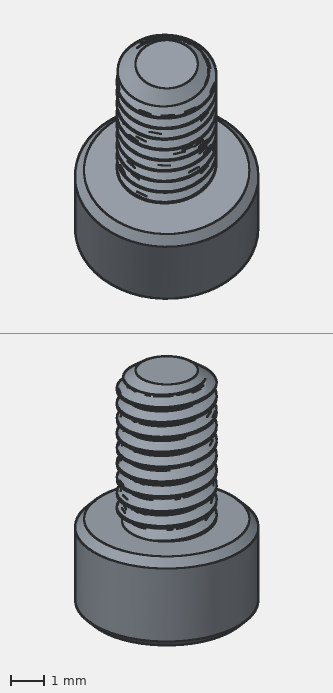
import cadquery as cq
import math

total_length = 8.0
head_height = 3.0
head_diameter = 5.5
head_chamfer = 0.27
thread_diameter = 3.0
root_diameter = 2.35
thread_turns = 10
flank_samples = 24
flank_angle = 30.0
tip_diameter = 1.87
tip_cone_height = 0.41
first_groove_height = 0.1

thread_radius = thread_diameter / 2
root_radius = root_diameter / 2
shank_length = total_length - head_height
thread_pitch = shank_length / thread_turns
root_flat = thread_pitch / 8
flank_slope = math.tan(math.radians(flank_angle))
flank_turn = 360 * (thread_radius - root_radius) * flank_slope / thread_pitch
root_half_turn = 360 * root_flat / thread_pitch / 2
groove_direction = -360 * first_groove_height / thread_pitch


def make_head():
    """Cylindrical head chamfered at both rims."""
    head = cq.Workplane("XY").circle(head_diameter / 2).extrude(head_height)
    return head.faces("|Z").edges().chamfer(head_chamfer)


def polar_point(radius, angle):
    """Point at a radius and an angle in degrees, measured from the root centre of the section."""
    direction = math.radians(angle + groove_direction)
    return (radius * math.cos(direction), radius * math.sin(direction))


def make_thread():
    """Right-handed thread: a level cross-section that rises one pitch per turn.

    The section has a root arc, a crest arc and two spiral flanks, because a
    straight flank gains radius evenly with angle.
    """
    flank_start = root_half_turn
    flank_end = root_half_turn + flank_turn

    def rising_flank(t):
        return polar_point(
            root_radius + t * (thread_radius - root_radius), flank_start + t * flank_turn
        )

    def falling_flank(t):
        return polar_point(
            thread_radius + t * (root_radius - thread_radius), -flank_end + t * flank_turn
        )

    return (
        cq.Workplane("XY", origin=(0, 0, head_height))
        .moveTo(*polar_point(root_radius, -root_half_turn))
        .threePointArc(polar_point(root_radius, 0), polar_point(root_radius, root_half_turn))
        .parametricCurve(rising_flank, N=flank_samples, makeWire=False)
        .moveTo(*polar_point(thread_radius, flank_end))
        .threePointArc(polar_point(thread_radius, 180), polar_point(thread_radius, -flank_end))
        .parametricCurve(falling_flank, N=flank_samples, makeWire=False)
        .wire()
        .twistExtrude(shank_length, 360 * thread_turns)
    )


def make_tip_cone():
    """Cone that bevels the tip and clears the thread everywhere below it."""
    slope = (thread_diameter - tip_diameter) / 2 / tip_cone_height
    base_radius = tip_diameter / 2 + slope * shank_length
    return (
        cq.Workplane("XZ")
        .moveTo(0, head_height)
        .lineTo(base_radius, head_height)
        .lineTo(tip_diameter / 2, total_length)
        .lineTo(0, total_length)
        .close()
        .revolve(360, (0, 0, 0), (0, 1, 0))
    )


threaded_shank = make_thread().intersect(make_tip_cone())
result = make_head().union(threaded_shank)